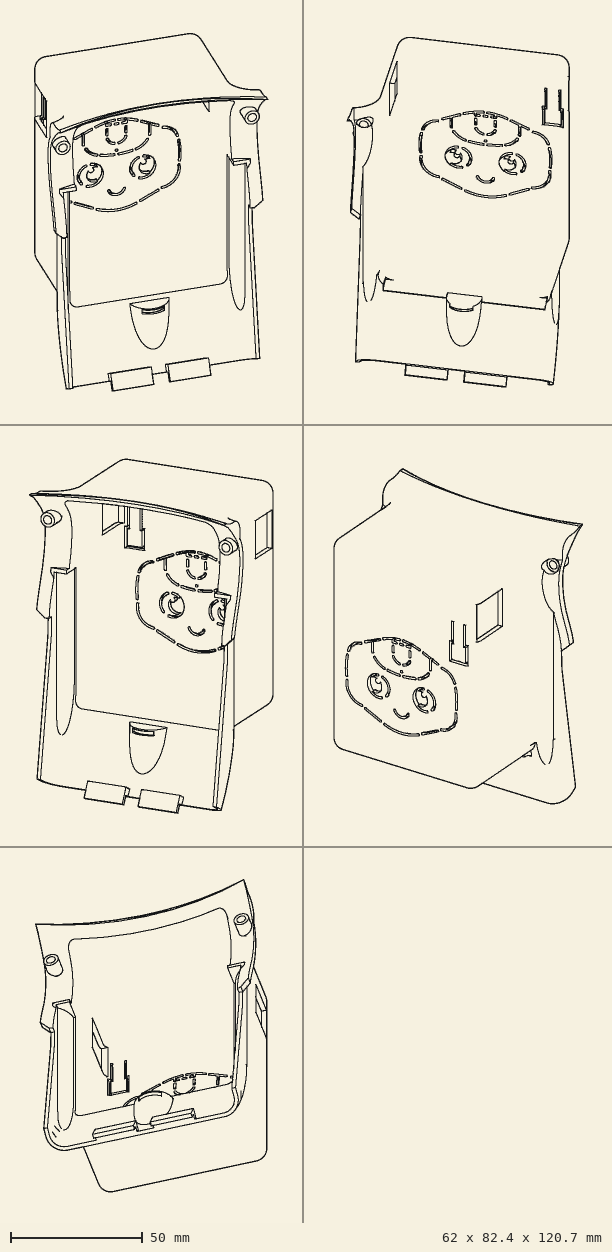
import cadquery as cq
import math

BOX_WIDTH = 66.7
BOX_HEIGHT = 90.4
BOX_REACH = 62.0
BOX_RADIUS = 5.0
WALL = 2.0
HALF_BOX = BOX_WIDTH / 2
FAR = 90.0

HALF_SADDLE = 41.2
SADDLE_AXIS_X = 165.0
SADDLE_SWEEP = 50.0
SADDLE_TOP = 92.5
SADDLE_BOTTOM = 40.6
FLANGE_THICKNESS = 2.6
FLARE_START_X = 38.3
FLARE_END_X = 48.3
FLARE_MIDDLE = (45.1, 36.0)
FLARE_BOTTOM = 59.3
LIP_LENGTH = 7.4
LIP_CREST = 0.4
LIP_MIDDLE = (0.6 * LIP_LENGTH, 0.7)
CROWN_DROP = 0.9
LIP_EDGE = 1.0
LIP_HEEL_RIM_X = 56.4
FLANGE_CHAMFER = 3.2
RIM_POINTS = [
    (56.2, SADDLE_BOTTOM),
    (55.5, 45.3),
    (51.2, 58.0),
    (48.6, 69.8),
    (49.6, 79.5),
    (53.6, 85.0),
    (62.0, SADDLE_TOP),
]

HALF_SKIRT = 38.0
SKIRT_WALL = 1.5
SKIRT_CORNER = 7.0
SKIRT_FRONT_X = 40.2
SKIRT_CURVE_RADIUS = 71.0
SKIRT_CURVE_START_Z = 14.0
SKIRT_CURVE_ANGLE = 50.0
SKIRT_TOP = FLARE_BOTTOM
SKIRT_BOTTOM = -40.0
SKIRT_HEEL = (52.6, -26.8)
SKIRT_TOE = (62.0, -21.7)
SKIRT_REAR = [(52.7, 32.8), (52.4, SADDLE_BOTTOM), (50.0, SKIRT_TOP)]

TAB_WIDTH = 16.2
TAB_CENTRE_Y = 11.4
TAB_OUTER = 0.9
TAB_INNER = 5.4
TAB_THICKNESS = 1.6
TAB_ROOT = 3.0
TOTAL_HEIGHT = 120.73
TAB_TIP_Z = SADDLE_TOP - TOTAL_HEIGHT

GROOVE_RADIUS = 6.8
GROOVE_WALL = 1.2
GROOVE_BACK_X = 48.2
GROOVE_BOTTOM = -19.5
GROOVE_TOP = -0.6
SLIT_WIDTH = 9.0
SLIT_HEIGHT = 1.7
FILLET_START_X = 36.8
FILLET_DROP = 1.7
FILLET_MIDDLE = (39.6, -0.5)
FILLET_FOOT_X = 41.6
FILLET_END_X = 44.0

BOSS_Y = 37.7
BOSS_Z = 79.5
BOSS_RADIUS = 2.9
BOSS_HOLE_RADIUS = 1.7
BOSS_SEAT_X = 47.1
BOSS_END_X = 53.4

WINDOW_END_X = 19.0
WINDOW_BOTTOM = 64.1
NEAR_WINDOW_START_X = 2.6
NEAR_WINDOW_TOP = 80.1
FAR_WINDOW_START_X = 5.0
FAR_WINDOW_TOP = 79.4

LINE_WIDTH = 0.9
CUT_MARGIN = 1.0
CUT_DEPTH = WALL + 2 * CUT_MARGIN
EYE_Y = 10.45
EYE_Z = 34.0
EYE_RADIUS = 5.2
PUPIL_RADIUS = 3.3
PUPIL_SHIFT = 1.9
GLINT_RADIUS = 1.1
GLINT = (0.3, 2.2)
EYE_SLOT_RADIUS = EYE_RADIUS - LINE_WIDTH / 2
EYE_LONG_SLOT = (95, 285)
EYE_SHORT_SLOT = (-42, 68)
DOT_Z = 43.2
DOT_RADIUS = 0.5
MIRRORED_SLOTS = [
    ((0.9, 56.6), (4.0, 56.2), (8.2, 54.9)),
    ((10.0, 54.1), (16.5, 51.2)),
    ((18.6, 50.0), (22.6, 48.1), (24.3, 45.3)),
    ((24.8, 43.2), (25.3, 38.6), (25.1, 34.4)),
    ((24.9, 32.3), (23.0, 26.0), (18.2, 23.6)),
    ((16.5, 22.7), (9.6, 19.4)),
    ((13.3, 52.3), (13.2, 47.8)),
    ((12.3, 45.8), (10.5, 43.8), (7.9, 42.4)),
    ((6.2, 42.0), (3.5, 41.6), (1.0, 41.4)),
    ((3.9, 56.0), (3.9, 54.8)),
    ((3.9, 54.8), (2.5, 54.8)),
    ((3.8, 52.9), (3.8, 50.6)),
    ((3.7, 48.6), (2.7, 47.2), (1.0, 46.3)),
]
CENTRE_SLOTS = [
    ((-7.7, 18.5), (0, 16.9), (7.7, 18.5)),
    ((-0.5, 54.8), (0.5, 54.8)),
    ((-3.1, 25.9), (0, 23.7), (3.1, 25.9)),
]

LATCH_Y = -26.1
LATCH_TOP = 71.4
LATCH_STEP = 62.8
LATCH_BOTTOM = 54.1
LATCH_NECK_WIDTH = 6.2
LATCH_HEAD_WIDTH = 8.2
LATCH_NECK_GAP = 0.8
LATCH_HEAD_GAP = 1.0


def block(x_range, y_range, z_range):
    """Box given by its limits on each axis."""
    size = [high - low for low, high in (x_range, y_range, z_range)]
    corner = (x_range[0], y_range[0], z_range[0])
    return cq.Workplane("XY").box(*size, centered=False).translate(corner)


def centred_prism(outline, half_width):
    """Extrude an outline on the XZ plane to both sides of Y = 0."""
    return outline.extrude(half_width, both=True)


def box_body():
    body = block((0, BOX_REACH), (-HALF_BOX, HALF_BOX), (0, BOX_HEIGHT))
    return body.edges("|X").fillet(BOX_RADIUS).faces("<X").edges().fillet(BOX_RADIUS)


def box_cavity():
    half = HALF_BOX - WALL
    cavity = block((WALL, FAR), (-half, half), (WALL, BOX_HEIGHT - WALL))
    inner_radius = BOX_RADIUS - WALL
    return cavity.edges("|X").fillet(inner_radius).faces("<X").edges().fillet(inner_radius)


def turned(outline):
    """Turn an XZ outline about the saddle axis, across the full width."""
    body = outline.revolve(SADDLE_SWEEP, (SADDLE_AXIS_X, 0, 0), (SADDLE_AXIS_X, 1, 0))
    axis_start = (SADDLE_AXIS_X, 0, 0)
    axis_end = (SADDLE_AXIS_X, 0, 1)
    return body.rotate(axis_start, axis_end, -SADDLE_SWEEP / 2)


def rim_to_centre(x):
    """X on the middle plane of the saddle circle that meets the rim at x."""
    return SADDLE_AXIS_X - math.hypot(SADDLE_AXIS_X - x, HALF_SADDLE)


def centre_points(shift=0.0):
    return [(rim_to_centre(x) + shift, z) for x, z in RIM_POINTS]


def saddle_space():
    """Everything behind the saddle surface."""
    points = centre_points()
    outline = cq.Workplane("XZ").moveTo(*points[0]).spline(points[1:], includeCurrent=True)
    outline = outline.lineTo(FAR, SADDLE_TOP).lineTo(FAR, SADDLE_BOTTOM).close()
    return turned(outline)


def flange_plate():
    rear = centre_points()
    front = centre_points(-FLANGE_THICKNESS)[::-1]
    outline = cq.Workplane("XZ").moveTo(*rear[0]).spline(rear[1:], includeCurrent=True)
    outline = outline.lineTo(*front[0]).spline(front[1:], includeCurrent=True).close()
    width = block((0, FAR), (-HALF_SADDLE, HALF_SADDLE), (SADDLE_BOTTOM, BOX_HEIGHT))
    width = width.faces("<Z").edges("|X").chamfer(FLANGE_CHAMFER)
    return turned(outline).intersect(width)


def top_lip():
    """Concave sweep from the box roof up to the top edge of the saddle."""
    tip_x = rim_to_centre(RIM_POINTS[-1][0])
    start_x = tip_x - LIP_LENGTH
    middle = (start_x + LIP_MIDDLE[0], BOX_HEIGHT + LIP_MIDDLE[1])
    roof = BOX_HEIGHT - WALL
    outline = (
        cq.Workplane("XZ")
        .moveTo(start_x, roof)
        .lineTo(start_x, BOX_HEIGHT)
        .threePointArc(middle, (tip_x - LIP_CREST, SADDLE_TOP))
        .lineTo(tip_x, SADDLE_TOP)
        .lineTo(tip_x, SADDLE_TOP - LIP_EDGE)
        .lineTo(rim_to_centre(LIP_HEEL_RIM_X), roof)
        .close()
    )
    side_top = SADDLE_TOP - CROWN_DROP
    crown = (
        cq.Workplane("YZ")
        .moveTo(-HALF_SADDLE, 0)
        .lineTo(-HALF_SADDLE, side_top)
        .threePointArc((0, SADDLE_TOP), (HALF_SADDLE, side_top))
        .lineTo(HALF_SADDLE, 0)
        .close()
        .extrude(FAR)
    )
    return turned(outline).intersect(crown)


def flare(inset, bottom, top):
    """Body whose sides sweep outward in a concave arc from the box to the flange width."""
    start = (FLARE_START_X + inset, HALF_BOX - inset)
    middle = (FLARE_MIDDLE[0] + inset, FLARE_MIDDLE[1] - inset)
    end = (FLARE_END_X + inset, HALF_SADDLE - inset)
    half = (
        cq.Workplane("XY", origin=(0, 0, bottom))
        .moveTo(start[0], 0)
        .lineTo(*start)
        .threePointArc(middle, end)
        .lineTo(BOX_REACH, end[1])
        .lineTo(BOX_REACH, 0)
        .close()
        .extrude(top - bottom)
    )
    return half.union(half.mirror("XZ"))


def roof_flare():
    """Flare beside the flange, its curved top edges rounded like the box."""
    body = flare(0, FLARE_BOTTOM, BOX_HEIGHT)
    curved_edges = body.faces(">Z").edges("%CIRCLE")
    return body.newObject(curved_edges.vals()).fillet(BOX_RADIUS)


def skirt_prism(inset):
    """Solid channel form, set in from the outer skirt surface."""
    front_x = SKIRT_FRONT_X + inset
    centre_x = SKIRT_FRONT_X + SKIRT_CURVE_RADIUS
    radius = SKIRT_CURVE_RADIUS - inset

    def on_curve(degrees):
        angle = math.radians(degrees)
        return (centre_x - radius * math.cos(angle), SKIRT_CURVE_START_Z - radius * math.sin(angle))

    end = on_curve(SKIRT_CURVE_ANGLE)
    top = SKIRT_TOP - inset
    outline = (
        cq.Workplane("XZ")
        .moveTo(front_x, top)
        .lineTo(front_x, SKIRT_CURVE_START_Z)
        .threePointArc(on_curve(SKIRT_CURVE_ANGLE / 2), end)
        .lineTo(FAR, end[1])
        .lineTo(FAR, top)
        .close()
    )
    prism = centred_prism(outline, HALF_SKIRT - inset)
    return prism.faces("<X").edges("|Z").fillet(SKIRT_CORNER - inset)


def skirt_limits():
    """Side outline of the skirt: rear edge and slanted lower end."""
    end_slope = (SKIRT_TOE[1] - SKIRT_HEEL[1]) / (SKIRT_TOE[0] - SKIRT_HEEL[0])
    end_at_front = SKIRT_HEEL[1] - end_slope * SKIRT_HEEL[0]
    points = [(0, end_at_front), SKIRT_TOE] + SKIRT_REAR + [(0, SKIRT_TOP)]
    return centred_prism(cq.Workplane("XZ").polyline(points).close(), FAR)


def floor_fillet():
    """Small blend between the box floor and the skirt."""
    outline = (
        cq.Workplane("XZ")
        .moveTo(FILLET_START_X, 0)
        .threePointArc(FILLET_MIDDLE, (FILLET_FOOT_X, -FILLET_DROP))
        .lineTo(FILLET_END_X, -FILLET_DROP)
        .lineTo(FILLET_END_X, WALL)
        .lineTo(FILLET_START_X, WALL)
        .close()
    )
    return centred_prism(outline, HALF_BOX - WALL)


def clip_tabs():
    run_x = SKIRT_TOE[0] - SKIRT_HEEL[0]
    run_z = SKIRT_TOE[1] - SKIRT_HEEL[1]
    length = math.hypot(run_x, run_z)
    inward = (run_x / length, run_z / length)
    down = (inward[1], -inward[0])

    def place(depth, drop):
        return tuple(SKIRT_HEEL[i] + depth * inward[i] + drop * down[i] for i in (0, 1))

    shoulder = TAB_INNER - TAB_THICKNESS
    tip = (TAB_TIP_Z - place(shoulder, 0)[1]) / down[1]
    corners = [
        place(TAB_OUTER, 0),
        place(shoulder, 0),
        place(shoulder, tip),
        place(TAB_INNER, tip),
        place(TAB_INNER, -TAB_ROOT),
        place(TAB_OUTER, -TAB_ROOT),
    ]
    tab = centred_prism(cq.Workplane("XZ").polyline(corners).close(), TAB_WIDTH / 2)
    return tab.translate((0, TAB_CENTRE_Y, 0)).union(tab.translate((0, -TAB_CENTRE_Y, 0)))


def groove_cylinder(radius, bottom, top):
    plane = cq.Workplane("XY", origin=(GROOVE_BACK_X - GROOVE_RADIUS, 0, bottom))
    return plane.circle(radius).extrude(top - bottom)


def groove_slit():
    return block(
        (FILLET_MIDDLE[0], FAR),
        (-SLIT_WIDTH / 2, SLIT_WIDTH / 2),
        (GROOVE_TOP - SLIT_HEIGHT, GROOVE_TOP),
    )


def boss_cylinders(radius, start_x, end_x):
    plane = cq.Workplane("YZ", origin=(start_x, 0, 0))
    return plane.pushPoints([(-BOSS_Y, BOSS_Z), (BOSS_Y, BOSS_Z)]).circle(radius).extrude(end_x - start_x)


def windows():
    near = block((NEAR_WINDOW_START_X, WINDOW_END_X), (-FAR, 0), (WINDOW_BOTTOM, NEAR_WINDOW_TOP))
    far = block((FAR_WINDOW_START_X, WINDOW_END_X), (0, FAR), (WINDOW_BOTTOM, FAR_WINDOW_TOP))
    return near.union(far)


def face_plane():
    return cq.Workplane("YZ", origin=(-CUT_MARGIN, 0, 0))


def discs(points, radius):
    return face_plane().pushPoints(points).circle(radius).extrude(CUT_DEPTH)


def slot(points):
    """Round-ended slot along a straight line (two points) or an arc (three points)."""
    if len(points) == 3:
        path = face_plane().moveTo(*points[0]).threePointArc(*points[1:])
        return path.offset2D(LINE_WIDTH / 2).extrude(CUT_DEPTH)
    (start_y, start_z), (end_y, end_z) = points
    length = math.hypot(end_y - start_y, end_z - start_z) + LINE_WIDTH
    angle = math.degrees(math.atan2(end_z - start_z, end_y - start_y))
    plane = face_plane().center((start_y + end_y) / 2, (start_z + end_z) / 2)
    return plane.slot2D(length, LINE_WIDTH, angle).extrude(CUT_DEPTH)


def eye(centre_y):
    """Split ring with an off-centre pupil that keeps a small glint of material."""

    def on_ring(degrees):
        angle = math.radians(degrees)
        return (
            centre_y - EYE_SLOT_RADIUS * math.cos(angle),
            EYE_Z + EYE_SLOT_RADIUS * math.sin(angle),
        )

    pupil_y = centre_y + PUPIL_SHIFT
    cuts = discs([(pupil_y, EYE_Z)], PUPIL_RADIUS)
    cuts = cuts.cut(discs([(centre_y + GLINT[0], EYE_Z + GLINT[1])], GLINT_RADIUS))
    for start, end in (EYE_LONG_SLOT, EYE_SHORT_SLOT):
        cuts = cuts.union(slot([on_ring(start), on_ring((start + end) / 2), on_ring(end)]))
    return cuts


def face_pattern():
    cuts = discs([(0, DOT_Z)], DOT_RADIUS)
    for points in MIRRORED_SLOTS:
        cuts = cuts.union(slot(points))
        cuts = cuts.union(slot([(-y, z) for y, z in points]))
    for points in CENTRE_SLOTS:
        cuts = cuts.union(slot(points))
    return cuts.union(eye(EYE_Y)).union(eye(-EYE_Y))


def latch_slots():
    """Slots that free a tongue hanging from its narrow upper end."""
    depth = (-CUT_MARGIN, CUT_DEPTH - CUT_MARGIN)

    def frame(width, bottom, top):
        return block(depth, (LATCH_Y - width / 2, LATCH_Y + width / 2), (bottom, top))

    tongue_neck = LATCH_NECK_WIDTH - 2 * LATCH_NECK_GAP
    tongue_head = LATCH_HEAD_WIDTH - 2 * LATCH_HEAD_GAP
    outer = frame(LATCH_NECK_WIDTH, LATCH_STEP, LATCH_TOP)
    outer = outer.union(frame(LATCH_HEAD_WIDTH, LATCH_BOTTOM, LATCH_STEP))
    tongue_step = LATCH_STEP - LATCH_HEAD_GAP
    outer = outer.cut(frame(tongue_neck, tongue_step, LATCH_TOP))
    return outer.cut(frame(tongue_head, LATCH_BOTTOM + LATCH_HEAD_GAP, tongue_step))


housing = box_body().union(roof_flare()).cut(saddle_space())
housing = housing.union(flange_plate()).union(top_lip())

skirt_outer = skirt_prism(0).intersect(skirt_limits()).intersect(flare(0, SKIRT_BOTTOM, SKIRT_TOP))
skirt_width = block((0, FAR), (-HALF_SKIRT, HALF_SKIRT), (SKIRT_BOTTOM, FAR))
skirt_blend = flare(0, BOX_RADIUS, SKIRT_TOP).intersect(skirt_limits()).intersect(skirt_width)
skirt_inner = skirt_prism(SKIRT_WALL).intersect(flare(SKIRT_WALL, SKIRT_BOTTOM, SKIRT_TOP))
groove_wall = groove_cylinder(GROOVE_RADIUS + GROOVE_WALL, GROOVE_BOTTOM - GROOVE_WALL, 0)
groove_wall = groove_wall.intersect(skirt_outer)

result = housing.union(skirt_outer).union(skirt_blend).union(floor_fillet())
result = result.cut(box_cavity()).cut(skirt_inner)
result = result.union(groove_wall).union(clip_tabs())
result = result.cut(groove_cylinder(GROOVE_RADIUS, GROOVE_BOTTOM, GROOVE_TOP)).cut(groove_slit())
result = result.union(boss_cylinders(BOSS_RADIUS, BOSS_SEAT_X, BOSS_END_X))
result = result.cut(boss_cylinders(BOSS_RADIUS, 0, BOSS_SEAT_X))
result = result.cut(boss_cylinders(BOSS_HOLE_RADIUS, 0, FAR))
result = result.cut(windows()).cut(face_pattern()).cut(latch_slots())